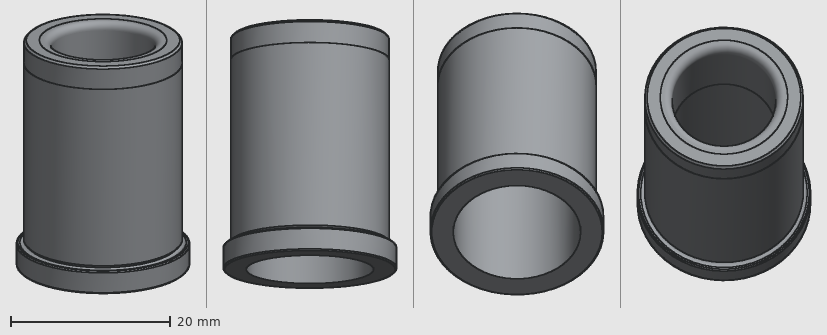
import cadquery as cq

height = 30.0
shank_radius = 10.0
lead_radius = 9.95
lead_length = 3.0
lead_chamfer = 0.3

flange_diameter = 21.8
flange_radius = flange_diameter / 2
flange_thickness = 3.0
flange_chamfer = 0.18

relief_top = 3.45
relief_root_radius = 9.6
relief_root_height = 3.05
relief_depth = 0.105
relief_floor_radius = 10.2
relief_outer_radius = 10.47

liner_length = 10.15
liner_radius = 8.0
bore_radius = 6.5
bore_rounding = 1.0


def make_sleeve():
    """Flanged outer sleeve, revolved about Z."""
    lead_start = height - lead_length
    relief_floor = flange_thickness - relief_depth
    relief_middle_radius = (relief_root_radius + relief_floor_radius) / 2
    profile = (
        cq.Workplane("XZ")
        .moveTo(liner_radius, 0)
        .lineTo(flange_radius - flange_chamfer, 0)
        .lineTo(flange_radius, flange_chamfer)
        .lineTo(flange_radius, flange_thickness - flange_chamfer)
        .lineTo(flange_radius - flange_chamfer, flange_thickness)
        .lineTo(relief_outer_radius, flange_thickness)
        .lineTo(relief_floor_radius, relief_floor)
        .threePointArc(
            (relief_middle_radius, relief_floor),
            (relief_root_radius, relief_root_height),
        )
        .lineTo(shank_radius, relief_top)
        .lineTo(shank_radius, lead_start)
        .lineTo(lead_radius, lead_start)
        .lineTo(lead_radius, height - lead_chamfer)
        .lineTo(lead_radius - lead_chamfer, height)
        .lineTo(liner_radius, height)
        .close()
    )
    return profile.revolve(360, (0, 0, 0), (0, 1, 0))


def make_liner():
    """Short liner ring with both bore mouths rounded, flush with the sleeve's top."""
    return (
        cq.Workplane("XY")
        .workplane(offset=height - liner_length)
        .circle(liner_radius)
        .circle(bore_radius)
        .extrude(liner_length)
        .edges(cq.selectors.RadiusNthSelector(0))
        .fillet(bore_rounding)
    )


sleeve = make_sleeve()
liner = make_liner()

result = cq.Compound.makeCompound([sleeve.val(), liner.val()])